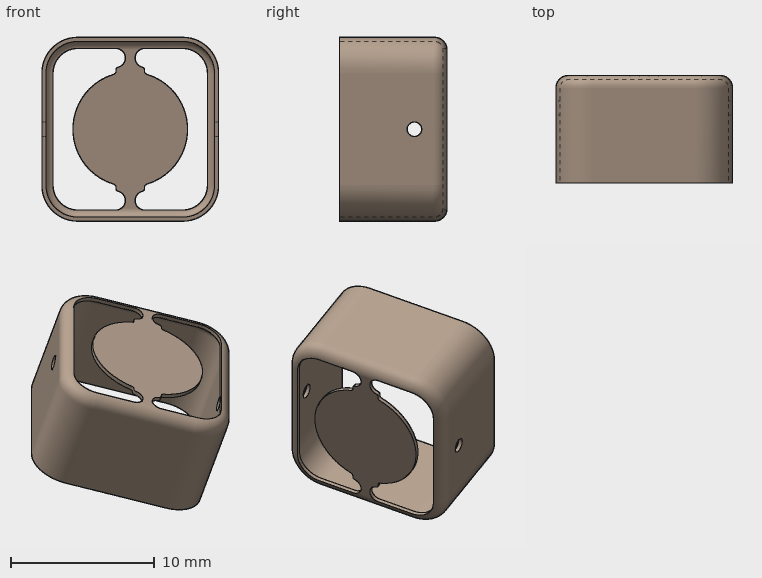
import cadquery as cq

width = 12.3
depth = 7.5
height = 12.8
wall = 0.3
corner_radius = 2.5
rim_radius = 0.9

opening_inset = 0.8
disc_radius = 4.0
tab_half_width = 1.0
neck_radius = 0.65
shoulder_radius = 0.2

side_hole_diameter = 1.0
side_hole_from_back = 2.28

back_y = depth / 2
floor_y = back_y - wall
opening_top = height / 2 - opening_inset
neck_z = opening_top - neck_radius
shoulder_z = neck_z - neck_radius
tab_root_z = (disc_radius**2 - tab_half_width**2) ** 0.5


def rounded_block(inset, y_start, y_end):
    """Block along Y with rounded corners, inset evenly from the case outline."""
    return (
        cq.Workplane("XZ", origin=(0, y_start, 0))
        .rect(width - 2 * inset, height - 2 * inset)
        .extrude(y_start - y_end)
        .edges("|Y")
        .fillet(corner_radius - inset)
    )


def make_shell():
    """Thin-walled case with its floor edge rounded inside and outside."""
    outer = rounded_block(0, -back_y, back_y).faces(">Y").edges().fillet(rim_radius)
    cavity = rounded_block(wall, -back_y, floor_y).faces(">Y").edges().fillet(rim_radius - wall)
    return outer.cut(cavity)


def edges_at(x, z):
    """Select the four mirrored Y-parallel edges at (+-x, +-z)."""
    tolerance = 0.006
    selector = None
    for x_sign in (-1, 1):
        for z_sign in (-1, 1):
            px = x_sign * x
            pz = z_sign * z
            box = cq.selectors.BoxSelector(
                (px - tolerance, -depth, pz - tolerance),
                (px + tolerance, depth, pz + tolerance),
            )
            selector = box if selector is None else selector + box
    return selector


def make_web():
    """Disc with top and bottom tabs, each necked by a pair of round notches."""
    plane = cq.Workplane("XZ", origin=(0, back_y, 0))
    disc = plane.circle(disc_radius).extrude(rim_radius)
    tabs = plane.rect(2 * tab_half_width, 2 * opening_top).extrude(rim_radius)
    notch_centers = [(x, z) for x in (-tab_half_width, tab_half_width) for z in (-neck_z, neck_z)]
    notches = plane.pushPoints(notch_centers).circle(neck_radius).extrude(rim_radius)
    web = disc.union(tabs).cut(notches)
    web = web.edges(edges_at(tab_half_width, shoulder_z)).fillet(shoulder_radius)
    return web.edges(edges_at(tab_half_width, tab_root_z)).fillet(shoulder_radius)


def make_side_holes():
    """One round bore along X through both side walls."""
    return (
        cq.Workplane("YZ", origin=(-width / 2, back_y - side_hole_from_back, 0))
        .circle(side_hole_diameter / 2)
        .extrude(width)
    )


opening = rounded_block(opening_inset, back_y - rim_radius, back_y).cut(make_web())
result = make_shell().cut(opening).cut(make_side_holes())